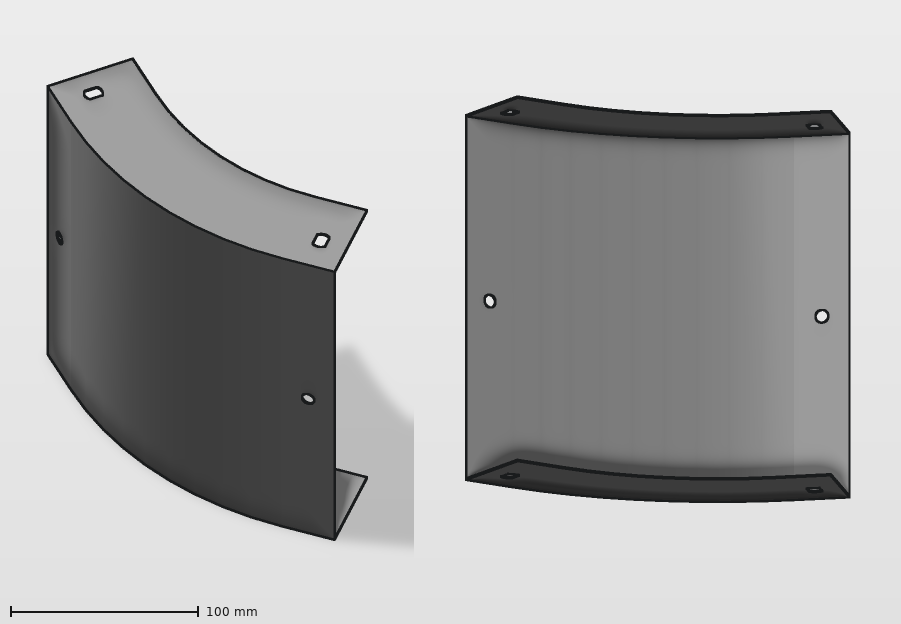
import cadquery as cq
import math

height = 200.0
flange_width = 50.0
sheet = 0.8
outer_radius = 199.5
straight = 30.0
bend_angle = 45.0

hole_diameter = 7.0
slot_length = 10.0
hole_from_end = straight / 2
slot_from_wall = 20.0

bend_center = (straight, outer_radius)
angle = math.radians(bend_angle)


def end_point(along, inset):
    """Point on the far straight end, measured past the bend and in from the outer wall."""
    radius = outer_radius - inset
    return (
        bend_center[0] + radius * math.sin(angle) + along * math.cos(angle),
        bend_center[1] - radius * math.cos(angle) + along * math.sin(angle),
    )


def arc_middle(inset):
    """Point halfway round the bend, in from the outer wall."""
    radius = outer_radius - inset
    return (
        bend_center[0] + radius * math.sin(angle / 2),
        bend_center[1] - radius * math.cos(angle / 2),
    )


def curved_strip(near, far, thickness):
    """Plate following the bend, between two distances in from the outer wall."""
    return (
        cq.Workplane("XY")
        .moveTo(0, near)
        .lineTo(straight, near)
        .threePointArc(arc_middle(near), end_point(0, near))
        .lineTo(*end_point(straight, near))
        .lineTo(*end_point(straight, far))
        .lineTo(*end_point(0, far))
        .threePointArc(arc_middle(far), (straight, far))
        .lineTo(0, far)
        .close()
        .extrude(thickness)
    )


def flange_slot(center, turn):
    """Round hole with two flat sides through both flanges, longest across the channel."""
    round_hole = cq.Workplane("XY").circle(slot_length / 2).extrude(height)
    flats = cq.Workplane("XY").rect(hole_diameter, slot_length).extrude(height)
    slot = round_hole.intersect(flats)
    return slot.rotate((0, 0, 0), (0, 0, 1), turn).translate((*center, 0))


def wall_hole(center, turn):
    """Round hole through the outer wall at mid height, square to the wall."""
    inward = cq.Vector(-math.sin(turn), math.cos(turn), 0)
    start = cq.Vector(*center, height / 2) - inward * sheet
    return cq.Workplane(cq.Solid.makeCylinder(hole_diameter / 2, 3 * sheet, start, inward))


channel = curved_strip(0, flange_width, height)
cavity = curved_strip(sheet, flange_width, height - 2 * sheet).translate((0, 0, sheet))
result = channel.cut(cavity)

far_hole_along = straight - hole_from_end
result = result.cut(flange_slot((hole_from_end, slot_from_wall), 0))
result = result.cut(flange_slot(end_point(far_hole_along, slot_from_wall), bend_angle))
result = result.cut(wall_hole((hole_from_end, 0), 0))
result = result.cut(wall_hole(end_point(far_hole_along, 0), angle))